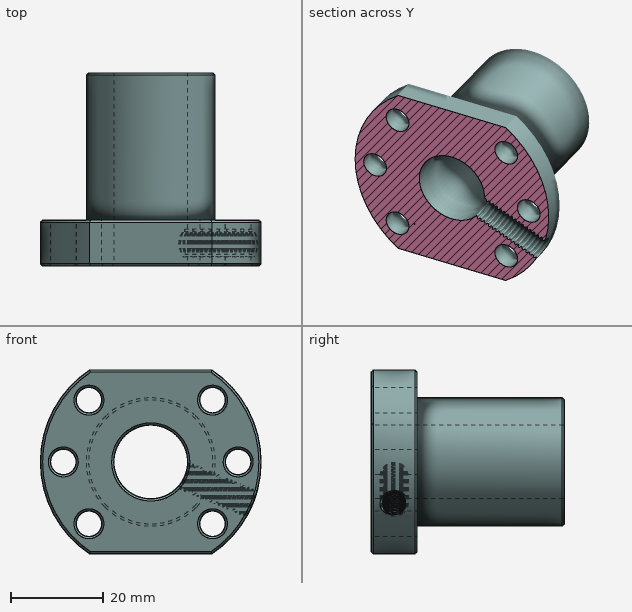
import cadquery as cq
import math

flange_diameter = 48.0
flange_height = 40.0
flange_thickness = 10.0

total_length = 42.0
sleeve_diameter = 28.0
bore_diameter = 16.0
edge_chamfer = 0.5

bolt_circle_radius = 19.0
screw_hole_diameter = 5.5
screw_hole_angles = [-45, 0, 45, 135, 180, 225]

port_angle = -22.5
port_minor_diameter = 5.04
port_major_diameter = 6.15
thread_pitch = 1.0
thread_root_width = thread_pitch / 8
thread_flank_angle = 30.0
thread_overlap = 0.1
port_bore_overrun = 1.75
port_rim_overrun = 2.5


def cylinder_along_y(diameter, start, length, x=0.0, z=0.0):
    base = cq.Vector(x, start, z)
    return cq.Workplane(cq.Solid.makeCylinder(diameter / 2, length, base, cq.Vector(0, 1, 0)))


def make_flange():
    disc = cylinder_along_y(flange_diameter, 0, flange_thickness)
    slab = cq.Workplane("XY").box(
        flange_diameter, flange_thickness, flange_height, centered=(True, False, True))
    return disc.intersect(slab).faces("<Y or >Y").edges().chamfer(edge_chamfer)


def make_sleeve():
    sleeve = cylinder_along_y(sleeve_diameter, 0, total_length)
    return sleeve.faces(">Y").edges().chamfer(edge_chamfer)


def hole_cutter(diameter, length, x=0.0, z=0.0):
    """Plain through hole with a chamfered mouth in the front face."""
    hole = cylinder_along_y(diameter, 0, length, x, z)
    mouth = cq.Workplane(cq.Solid.makeCone(
        diameter / 2 + edge_chamfer,
        diameter / 2,
        edge_chamfer,
        cq.Vector(x, 0, z),
        cq.Vector(0, 1, 0),
    ))
    return hole.union(mouth)


def port_cutter():
    """Threaded port, built along Z and then turned to point outward through the rim."""
    start = bore_diameter / 2 - port_bore_overrun
    length = flange_diameter / 2 + port_rim_overrun - start
    core = cq.Workplane("XY").circle(port_minor_diameter / 2).extrude(length)

    inner_radius = port_minor_diameter / 2 - thread_overlap
    outer_radius = port_major_diameter / 2
    half_root = thread_root_width / 2
    flank_slope = math.tan(math.radians(thread_flank_angle))
    half_mouth = half_root + (outer_radius - inner_radius) * flank_slope
    path = cq.Wire.makeHelix(thread_pitch, length, port_minor_diameter / 2)
    groove = (
        cq.Workplane("XZ")
        .moveTo(inner_radius, -half_mouth)
        .lineTo(outer_radius, -half_root)
        .lineTo(outer_radius, half_root)
        .lineTo(inner_radius, half_mouth)
        .close()
        .sweep(cq.Workplane(path), isFrenet=True)
    )
    return (
        core.union(groove)
        .translate((0, 0, start))
        .rotate((0, 0, 0), (0, 1, 0), 90 - port_angle)
        .translate((0, flange_thickness / 2, 0))
    )


def make_part():
    part = make_flange().union(make_sleeve())
    part = part.cut(hole_cutter(bore_diameter, total_length))
    for angle in screw_hole_angles:
        x = bolt_circle_radius * math.cos(math.radians(angle))
        z = bolt_circle_radius * math.sin(math.radians(angle))
        part = part.cut(hole_cutter(screw_hole_diameter, flange_thickness, x, z))
    return part.cut(port_cutter())


result = make_part()